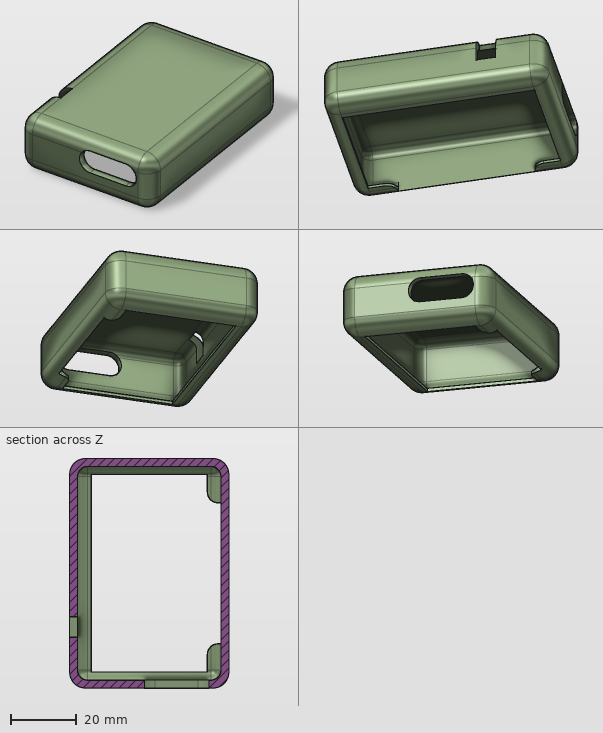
import cadquery as cq

LENGTH = 70.25
WIDTH = 48.75
HEIGHT = 19.2
EDGE_RADIUS = 5.0

SIDE_WALL = 2.5
TOP_WALL = 2.0
BOTTOM_WALL = 1.0
INNER_RADIUS = EDGE_RADIUS - TOP_WALL

OPENING_WIDTH = 35.4
OPENING_LENGTH = LENGTH - 2 * EDGE_RADIUS
WIDENING_LENGTH = 43.0
WIDENING_CORNER_RADIUS = 3.4

PORT_WIDTH = 20.85
PORT_HEIGHT = 7.7
PORT_X = 8.35
PORT_Z = 2.1

NOTCH_LENGTH = 6.2
NOTCH_Y = -16.4
NOTCH_FLOOR_Z = 0.0


def rounded_box(width, length, height, radius):
    """Centred box with every edge rounded."""
    return cq.Workplane("XY").box(width, length, height).edges().fillet(radius)


def cavity():
    """Rounded interior space."""
    return rounded_box(
        WIDTH - 2 * SIDE_WALL,
        LENGTH - 2 * SIDE_WALL,
        HEIGHT - TOP_WALL - BOTTOM_WALL,
        INNER_RADIUS,
    ).translate((0, 0, (BOTTOM_WALL - TOP_WALL) / 2))


def bottom_opening():
    """Opening through the floor, leaving two round-cornered lugs at the ends of the +X side."""
    opening = cq.Workplane("XY").box(
        OPENING_WIDTH, OPENING_LENGTH, HEIGHT / 2, centered=(True, True, False)
    )
    widening = cq.Workplane("XY").box(
        WIDTH / 2 - SIDE_WALL, WIDENING_LENGTH, HEIGHT / 2, centered=(False, True, False)
    )
    inner_corners = cq.selectors.BoxSelector(
        (OPENING_WIDTH / 2 - 0.7, -WIDENING_LENGTH / 2 - 0.7, 0),
        (OPENING_WIDTH / 2 + 0.7, WIDENING_LENGTH / 2 + 0.7, HEIGHT),
    )
    return (
        opening.union(widening)
        .edges("|Z")
        .edges(inner_corners)
        .fillet(WIDENING_CORNER_RADIUS)
        .translate((0, 0, -HEIGHT / 2))
    )


def port():
    """Slot with round ends, running from outside the front wall into the cavity."""
    return (
        cq.Workplane("XZ", origin=(PORT_X, -LENGTH / 2 + EDGE_RADIUS, PORT_Z))
        .slot2D(PORT_WIDTH, PORT_HEIGHT)
        .extrude(EDGE_RADIUS)
    )


def notch():
    """Notch reaching inward to the inner end of the outer edge rounding."""
    return cq.Workplane("XY").box(
        EDGE_RADIUS, NOTCH_LENGTH, HEIGHT / 2 - NOTCH_FLOOR_Z, centered=(False, True, False)
    ).translate((-WIDTH / 2, NOTCH_Y, NOTCH_FLOOR_Z))


result = (
    rounded_box(WIDTH, LENGTH, HEIGHT, EDGE_RADIUS)
    .cut(cavity())
    .cut(bottom_opening())
    .cut(port())
    .cut(notch())
)